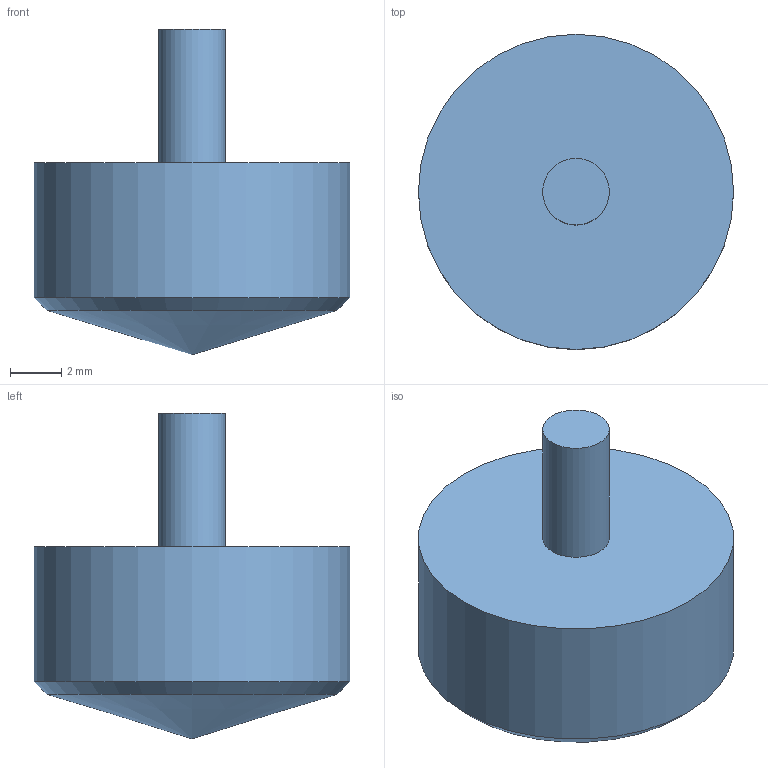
import cadquery as cq

body_diameter = 12.3
pin_diameter = 2.6
total_height = 12.7
pin_length = 5.2
cone_height = 1.73
chamfer_size = 0.5

body_radius = body_diameter / 2
pin_radius = pin_diameter / 2
cone_radius = body_radius - chamfer_size
body_bottom = cone_height + chamfer_size
body_top = total_height - pin_length


def half_profile():
    """Closed half section in the XZ plane, from the cone tip up to the pin end."""
    return (
        cq.Workplane("XZ")
        .moveTo(0, 0)
        .lineTo(cone_radius, cone_height)
        .lineTo(body_radius, body_bottom)
        .lineTo(body_radius, body_top)
        .lineTo(pin_radius, body_top)
        .lineTo(pin_radius, total_height)
        .lineTo(0, total_height)
        .close()
    )


result = half_profile().revolve(360, (0, 0, 0), (0, 1, 0))